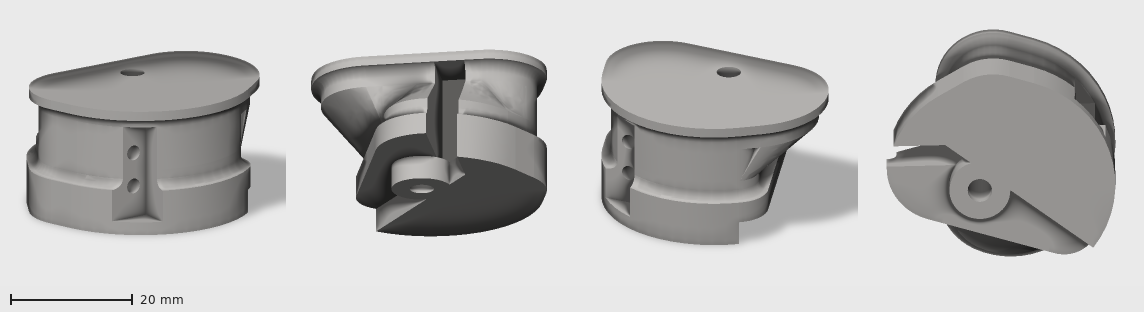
import cadquery as cq
import math

TOTAL_HEIGHT = 21.15
BASE_TOP = 7.52
STEP = 1.58
LOWER_COVE_TOP = BASE_TOP + STEP
RAMP_BOTTOM = LOWER_COVE_TOP + STEP
FLANGE_BOTTOM = TOTAL_HEIGHT - STEP
UPPER_COVE_BOTTOM = FLANGE_BOTTOM - STEP
RAMP_TOP = UPPER_COVE_BOTTOM - STEP

CORNER = (11.95, 11.5, 9.48)
FRONT = (19.05, 18.55, 18.55)
RIGHT_EDGE = FRONT[0] + FRONT[2]


def nested_circle(outer, radius, angle):
    """Circle inside `outer` that touches it in the direction `angle` (degrees)."""
    reach = outer[2] - radius
    turn = math.radians(angle)
    return outer[0] + reach * math.cos(turn), outer[1] + reach * math.sin(turn), radius


CREST_SIDE_RADIUS = 13.9
CREST_SIDE = (RIGHT_EDGE - CREST_SIDE_RADIUS, 22.52, CREST_SIDE_RADIUS)
CREST_TOP = nested_circle(CREST_SIDE, 10.2, 79)
LEFT_LOBE = (17.5, 19.1, 17.5)
BACK_LOBE = nested_circle(LEFT_LOBE, 9.25, 150)
BACK_RIGHT_RADIUS = 5.65
BACK_RIGHT = (RIGHT_EDGE - BACK_RIGHT_RADIUS, 19.0, BACK_RIGHT_RADIUS)

LOWER_BELT = [CORNER, FRONT, BACK_RIGHT, BACK_LOBE, LEFT_LOBE]
UPPER_BELT = [CORNER, FRONT, CREST_SIDE, CREST_TOP]

SLOT_ANGLE = -38.0
SLOT_WIDTH = 5.0
SLOT_FRONT_WALL = 19.15
SLOT_END = 1.88
NOTCH_END = 15.8
NOTCH_FLOOR = 2.18
ANCHOR_HOLE_DIAMETER = 2.52
ANCHOR_HOLE_HEIGHTS = [BASE_TOP, 13.2]
ANCHOR_HOLE_DEPTH = 10.0

AXLE_X = 16.65
AXLE_Y = 21.55
AXLE_DIAMETER = 4.0
BOSS_DIAMETER = 10.0
RECESS_DEPTH = 3.95

BACK_RAMP_MATCH_Y = 24.85
REACH = 56.4
SHORTEST_RUN = 3.76e-05


def point_on(circle, angle):
    """Point of a circle in a direction given in radians."""
    return circle[0] + circle[2] * math.cos(angle), circle[1] + circle[2] * math.sin(angle)


def tangent_angle(first, second):
    """Outward direction of the belt's straight run from one circle to the next."""
    dx = second[0] - first[0]
    dy = second[1] - first[1]
    ratio = (first[2] - second[2]) / math.hypot(dx, dy)
    return math.atan2(dy, dx) - math.acos(round(ratio, 9))


def arc_edge(circle, start, end):
    """Counter-clockwise arc of a circle, between two directions."""
    sweep = (end - start) % (2 * math.pi)
    points = [point_on(circle, start + sweep * part) for part in (0, 0.5, 1)]
    return cq.Edge.makeThreePointArc(*[cq.Vector(*p) for p in points])


def line_edge(start, end):
    return cq.Edge.makeLine(cq.Vector(*start), cq.Vector(*end))


def shrink(belt, inset):
    """Belt circles of the outline moved inward by `inset`."""
    return [(x, y, radius - inset) for x, y, radius in belt]


def belt_wire(belt):
    """Closed outline around the circles: an arc on each, joined by common tangents."""
    edges = []
    for index, circle in enumerate(belt):
        following = belt[(index + 1) % len(belt)]
        arrive = tangent_angle(belt[index - 1], circle)
        leave = tangent_angle(circle, following)
        edges.append(arc_edge(circle, arrive, leave))
        run_start = point_on(circle, leave)
        run_end = point_on(following, leave)
        if math.dist(run_start, run_end) > SHORTEST_RUN:
            edges.append(line_edge(run_start, run_end))
    return cq.Wire.assembleEdges(edges)


def prism(belt, bottom, top):
    solid = cq.Solid.extrudeLinear(belt_wire(belt), [], cq.Vector(0, 0, top - bottom))
    return cq.Workplane(solid.translate(cq.Vector(0, 0, bottom)))


LOWER_CORE = shrink(LOWER_BELT, STEP)
UPPER_CORE = shrink(UPPER_BELT, STEP)


def cove(core, ledge, direction):
    """Quarter-round cove between a ledge and the core; direction is +1 above it, -1 below it."""
    path = belt_wire(core).translate(cq.Vector(0, 0, ledge))
    start = path.Edges()[0].startPoint()
    along = path.Edges()[0].tangentAt(0)
    outward = along.cross(cq.Vector(0, 0, 1))
    plane = cq.Plane(origin=start, xDir=outward, normal=outward.cross(cq.Vector(0, 0, 1)))
    sag = STEP * (1 - math.sqrt(0.5))
    profile = (
        cq.Workplane(plane)
        .lineTo(STEP, 0)
        .threePointArc((sag, direction * sag), (0, direction * STEP))
        .close()
    )
    return profile.sweep(cq.Workplane(path))


def slot_frame_box(along, across, bottom, top):
    """Box given by its ranges along and across the slot direction."""
    return (
        cq.Workplane()
        .box(along[1] - along[0], across[1] - across[0], top - bottom, centered=False)
        .translate((along[0], across[0], bottom))
        .rotate((0, 0, 0), (0, 0, 1), SLOT_ANGLE)
    )


def cable_slot():
    """Slot through the left side, from the recess up to the flange."""
    walls = (SLOT_FRONT_WALL, SLOT_FRONT_WALL + SLOT_WIDTH)
    return slot_frame_box((-REACH, SLOT_END), walls, RECESS_DEPTH, FLANGE_BOTTOM)


def notch():
    """Corner notch, with two anchor holes bored into its end wall."""
    pocket = slot_frame_box((NOTCH_END, REACH), (-REACH, SLOT_FRONT_WALL), NOTCH_FLOOR, UPPER_COVE_BOTTOM)
    across = SLOT_FRONT_WALL - SLOT_WIDTH / 2
    for height in ANCHOR_HOLE_HEIGHTS:
        hole = (
            cq.Workplane("YZ", origin=(NOTCH_END - ANCHOR_HOLE_DEPTH, 0, 0))
            .center(across, height)
            .circle(ANCHOR_HOLE_DIAMETER / 2)
            .extrude(ANCHOR_HOLE_DEPTH)
            .rotate((0, 0, 0), (0, 0, 1), SLOT_ANGLE)
        )
        pocket = pocket.union(hole)
    return pocket


def bottom_recess():
    """Recess in the back half, up to the line of the slot's front wall and around the axle boss."""
    back_half = cq.Workplane().box(REACH, REACH, RECESS_DEPTH, centered=False).translate((0, FRONT[1], 0))
    behind_slot = slot_frame_box((-REACH, REACH), (SLOT_FRONT_WALL, 2 * REACH), 0, RECESS_DEPTH)
    boss = cq.Workplane().center(AXLE_X, AXLE_Y).circle(BOSS_DIAMETER / 2).extrude(RECESS_DEPTH)
    return back_half.intersect(behind_slot).cut(boss)


def upper_core():
    """Core under the flange; over the ramp height its crest is trimmed back to the lower core."""
    crest_space = (
        cq.Workplane()
        .box(REACH, REACH, RAMP_TOP - RAMP_BOTTOM, centered=False)
        .translate((0, BACK_RIGHT[1], RAMP_BOTTOM))
    )
    undercut = crest_space.cut(prism(LOWER_CORE, RAMP_BOTTOM, RAMP_TOP))
    return prism(UPPER_CORE, RAMP_BOTTOM, FLANGE_BOTTOM).cut(undercut)


def make_cam():
    lower = prism(LOWER_BELT, 0, BASE_TOP)
    lower = lower.union(cove(LOWER_CORE, BASE_TOP, 1))
    lower = lower.union(prism(LOWER_CORE, BASE_TOP, RAMP_BOTTOM))
    upper = upper_core().union(cove(UPPER_CORE, FLANGE_BOTTOM, -1))
    upper = upper.union(prism(UPPER_BELT, FLANGE_BOTTOM, TOTAL_HEIGHT))
    axle = cq.Workplane().center(AXLE_X, AXLE_Y).circle(AXLE_DIAMETER / 2).extrude(TOTAL_HEIGHT)
    cam = lower.union(upper, clean=False)
    for cutter in (cable_slot(), notch(), bottom_recess(), axle):
        cam = cam.cut(cutter, clean=False)
    return cam


def crossing(first_start, first_end, second_start, second_end):
    """Point where two straight runs, extended if need be, cross."""
    ax, ay = first_end[0] - first_start[0], first_end[1] - first_start[1]
    bx, by = second_end[0] - second_start[0], second_end[1] - second_start[1]
    gap_x, gap_y = second_start[0] - first_start[0], second_start[1] - first_start[1]
    part = (gap_x * by - gap_y * bx) / (ax * by - ay * bx)
    return first_start[0] + part * ax, first_start[1] + part * ay


def ramp(lower_edges, upper_edges):
    """Straight-ruled loft between two matched chains, each closed through a point in the slot."""
    across = SLOT_FRONT_WALL + SLOT_WIDTH / 2
    turn = math.radians(SLOT_ANGLE)
    inner = (-across * math.sin(turn), across * math.cos(turn))
    wires = []
    for edges, height in ((lower_edges, RAMP_BOTTOM), (upper_edges, RAMP_TOP)):
        closing = [
            line_edge(edges[-1].endPoint().toTuple(), inner),
            line_edge(inner, edges[0].startPoint().toTuple()),
        ]
        wire = cq.Wire.assembleEdges(edges + closing)
        wires.append(wire.translate(cq.Vector(0, 0, height)))
    loft = cq.Workplane(cq.Solid.makeLoft(wires, True))
    return loft.cut(upper_core()).cut(cable_slot())


CORE_CORNER, _, CORE_CREST_SIDE, CORE_CREST_TOP = UPPER_CORE
_, _, CORE_BACK_RIGHT, CORE_BACK_LOBE, CORE_LEFT_LOBE = LOWER_CORE

FLAT = tangent_angle(CORE_CREST_TOP, CORE_CORNER)
FLAT_START = point_on(CORE_CREST_TOP, FLAT)
FLAT_END = point_on(CORE_CORNER, FLAT)
LOBE_JOIN = tangent_angle(CORE_BACK_LOBE, CORE_LEFT_LOBE)
LEFT_RUN = tangent_angle(CORE_LEFT_LOBE, CORE_CORNER)
BACK_RUN = tangent_angle(CORE_BACK_RIGHT, CORE_BACK_LOBE)
BACK_RUN_START = point_on(CORE_BACK_RIGHT, BACK_RUN)
BACK_RUN_END = point_on(CORE_BACK_LOBE, BACK_RUN)
CROSSING = crossing(BACK_RUN_START, BACK_RUN_END, FLAT_START, FLAT_END)


def flat_point(y):
    """Point with the given Y on the straight upper edge."""
    part = (y - FLAT_START[1]) / (FLAT_END[1] - FLAT_START[1])
    return FLAT_START[0] + part * (FLAT_END[0] - FLAT_START[0]), y


SLOT_MIDDLE = flat_point((BACK_RAMP_MATCH_Y + FLAT_END[1]) / 2)


def make_left_ramp():
    """Ramp from the left lobe up to the straight upper edge, in front of the slot."""
    lower_edges = [
        arc_edge(CORE_LEFT_LOBE, LOBE_JOIN, LEFT_RUN),
        line_edge(point_on(CORE_LEFT_LOBE, LEFT_RUN), point_on(CORE_CORNER, LEFT_RUN)),
    ]
    upper_edges = [line_edge(SLOT_MIDDLE, FLAT_END), arc_edge(CORE_CORNER, FLAT, LEFT_RUN)]
    return ramp(lower_edges, upper_edges)


def make_back_ramp():
    """Ramp from the back lobe up to the straight upper edge, behind the slot."""
    match = flat_point(BACK_RAMP_MATCH_Y)
    lower_edges = [
        line_edge(CROSSING, BACK_RUN_END),
        arc_edge(CORE_BACK_LOBE, BACK_RUN, LOBE_JOIN),
    ]
    upper_edges = [line_edge(CROSSING, match), line_edge(match, SLOT_MIDDLE)]
    return ramp(lower_edges, upper_edges)


def make_crest_ramp():
    """Overhanging ramp from the lower core out to the crest of the upper core."""
    crest_join = tangent_angle(CORE_CREST_SIDE, CORE_CREST_TOP)
    setback = math.dist(CROSSING, FLAT_START) / 2
    run_match = (
        CROSSING[0] + setback * math.sin(BACK_RUN),
        CROSSING[1] - setback * math.cos(BACK_RUN),
    )
    lower_edges = [
        arc_edge(CORE_BACK_RIGHT, 0, BACK_RUN),
        line_edge(BACK_RUN_START, run_match),
        line_edge(run_match, CROSSING),
    ]
    upper_edges = [
        arc_edge(CORE_CREST_SIDE, 0, crest_join),
        arc_edge(CORE_CREST_TOP, crest_join, FLAT),
        line_edge(FLAT_START, CROSSING),
    ]
    return ramp(lower_edges, upper_edges)


cam = make_cam()
left_ramp = make_left_ramp()
back_ramp = make_back_ramp()
crest_ramp = make_crest_ramp()
result = cq.Compound.makeCompound(
    [
        *cam.solids().vals(),
        *left_ramp.solids().vals(),
        *back_ramp.solids().vals(),
        *crest_ramp.solids().vals(),
    ]
)